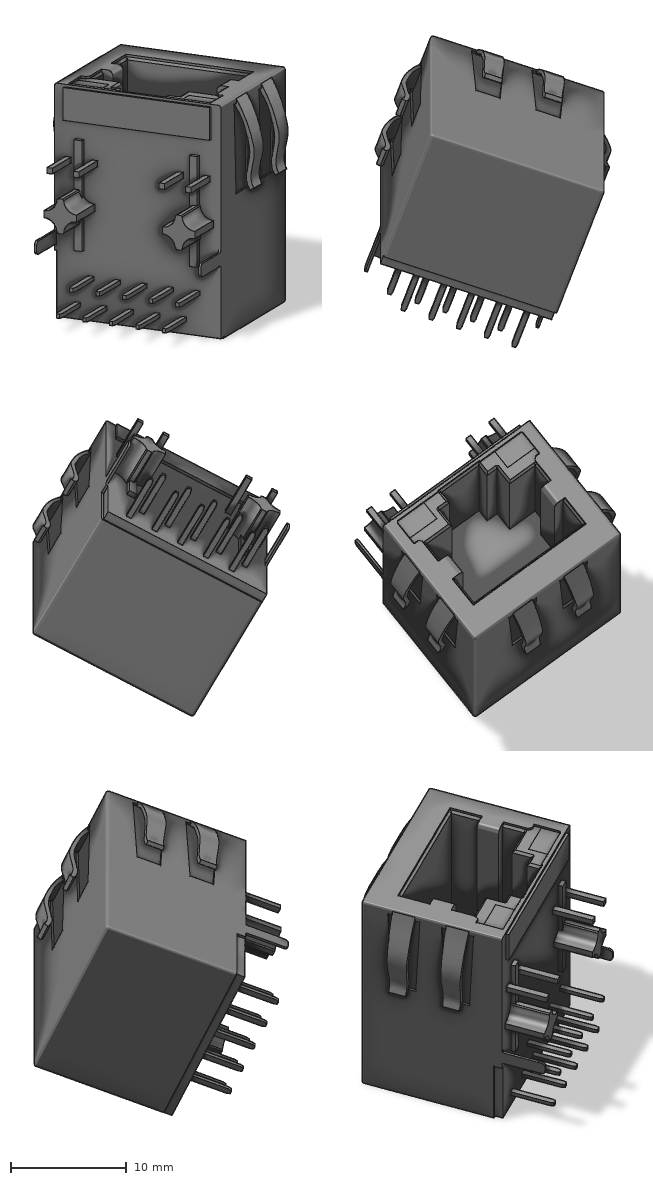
import cadquery as cq


HEIGHT = 21.25
HALF_WIDTH = 7.97
DEPTH = 13.1
EDGE_RADIUS = 0.25
SHEET = 0.21
PIN_REACH = 4.02

CONTACTS = 10
CONTACT_SPAN = 11.43
CONTACT_PITCH = CONTACT_SPAN / (CONTACTS - 1)

CAVITY_FLOOR = 8.5
LEAD_IN = 0.21
PLUG_HALF_WIDTH = 5.89
PLUG_TOP = 10.22
PLUG_BOTTOM = 3.46
LATCH_HALF_WIDTH = 3.12
LATCH_BOTTOM = 1.68
KEY_HALF_WIDTH = 2.05
KEY_BOTTOM = 0.5
LEDGE = HEIGHT - SHEET

TAB_TIP = 4.97
TAB_Y = (5.46, 7.45)
TAB_RADIUS = 0.53

LED_X = (3.85, 6.8)
LED_Y = (0.38, 2.23)
LED_CORNER = 0.1
WINDOW_TOP = 2.9
WINDOW_SLANT = 0.28
LEAD_SIZE = 0.53
LEAD_Z = 14.5
LEAD_MIDDLE = 5.38
LEAD_PITCH = 2 * CONTACT_PITCH
LEAD_REACH = 3.75

FINGER_OUTER = [(0.0, 0.2), (0.85, 1.87), (1.49, 3.82), (1.64, 4.72), (1.53, 5.78), (1.3, 7.01), (1.57, 8.18)]
FINGER_INNER = [(1.21, 8.37), (0.85, 7.01), (1.1, 5.78), (1.21, 4.72), (1.06, 3.82), (0.47, 1.87), (0.0, 1.06)]
FINGER_ROOT_DROPS = (0.2, 0.7)
FINGER_TOP_WIDTH = 2.12
FINGER_TIP_WIDTH = 1.53
FINGER_LENGTH = 8.5
SLOT_TOP_DROP = 0.62
SLOT_BOTTOM_DROP = 8.78
SLOT_TOP_WIDTH = 3.0
SLOT_BOTTOM_WIDTH = 2.23
SIDE_FINGER_Y = (4.15, 9.14)
BACK_FINGER_X = (-2.76, 2.76)

PAD_HALF_WIDTH = 7.01
PAD_Z = (18.06, 21.02)
PAD_HEIGHT = 0.25
RIB_X = 5.52
RIB_WIDTH = 0.75
RIB_Z = (6.5, 16.5)
RIB_HEIGHT = 0.42
PEG_X = 5.67
PEG_Z = 10.48
PEG_LENGTH = 3.63
PEG_RADIUS = 1.57
PEG_ARM_HALF = 0.32
PEG_WAIST = 0.68
PEG_CHAMFER = 0.1
LEG_Z = (6.8, 8.01)
LEG_ROOT_RADIUS = 0.17
LEG_TIP_RADIUS = 0.38
NOTCH_DEPTH = 0.8
NOTCH_TOP = 6.16
CONTACT_ROWS_Z = (1.57, 4.08)
CONTACT_WIDTH = 0.49
CONTACT_THICKNESS = 0.38
CONTACT_TIP_LENGTH = 0.32
CONTACT_TIP_WIDTH = 0.32


def box(x_range, y_range, z_range):
    """Box between two limits on each axis."""
    sizes = [high - low for low, high in (x_range, y_range, z_range)]
    corner = (x_range[0], y_range[0], z_range[0])
    return cq.Workplane("XY").box(*sizes, centered=False).translate(corner)


def both_sides(shape):
    """A shape together with its mirror image across the centre plane."""
    return shape.union(shape.mirror("YZ"))


def make_led():
    led = box(LED_X, LED_Y, (LEAD_Z - LEAD_SIZE / 2, LEDGE))
    led = led.edges("|Z and <Y and >X").chamfer(LED_CORNER)
    lead_root = sum(LED_Y) / 2
    for x in (LEAD_MIDDLE - LEAD_PITCH / 2, LEAD_MIDDLE + LEAD_PITCH / 2):
        lead = box(
            (x - LEAD_SIZE / 2, x + LEAD_SIZE / 2),
            (-LEAD_REACH, lead_root),
            (LEAD_Z - LEAD_SIZE / 2, LEAD_Z + LEAD_SIZE / 2),
        )
        led = led.union(lead)
    return led


def make_tab():
    tab = box((TAB_TIP, HALF_WIDTH), TAB_Y, (CAVITY_FLOOR, HEIGHT))
    return tab.edges("|Y and >Z and <X").fillet(TAB_RADIUS)


def plug_outline(z, margin):
    """Stepped outline of the plug opening, grown by a margin, at a level z."""
    right = [
        (KEY_HALF_WIDTH + margin, KEY_BOTTOM - margin),
        (KEY_HALF_WIDTH + margin, LATCH_BOTTOM - margin),
        (LATCH_HALF_WIDTH + margin, LATCH_BOTTOM - margin),
        (LATCH_HALF_WIDTH + margin, PLUG_BOTTOM - margin),
        (PLUG_HALF_WIDTH + margin, PLUG_BOTTOM - margin),
        (PLUG_HALF_WIDTH + margin, PLUG_TOP + margin),
    ]
    left = [(-x, y) for x, y in reversed(right)]
    return cq.Workplane("XY").workplane(offset=z).polyline(right + left).close()


def make_mouth():
    cavity = plug_outline(CAVITY_FLOOR, 0).extrude(HEIGHT - CAVITY_FLOOR)
    lead_in = plug_outline(LEDGE - LEAD_IN, 0).extrude(LEAD_IN, taper=-45)
    opening = plug_outline(LEDGE, LEAD_IN).extrude(SHEET)
    shoulder = PLUG_HALF_WIDTH + LEAD_IN
    led_window = (
        cq.Workplane("XY").workplane(offset=LEDGE)
        .moveTo(KEY_HALF_WIDTH, LED_Y[0])
        .lineTo(LED_X[1] - LED_CORNER, LED_Y[0])
        .lineTo(LED_X[1], LED_Y[0] + LED_CORNER)
        .lineTo(LED_X[1], WINDOW_TOP)
        .lineTo(shoulder + WINDOW_SLANT, WINDOW_TOP)
        .lineTo(shoulder, WINDOW_TOP + WINDOW_SLANT)
        .lineTo(shoulder, PLUG_BOTTOM)
        .lineTo(KEY_HALF_WIDTH, PLUG_BOTTOM)
        .close()
        .extrude(SHEET)
    )
    mouth = cavity.union(lead_in).union(opening).union(both_sides(led_window))
    return mouth.cut(both_sides(make_tab()))


def wall_trapezoid(top_width, bottom_width, top_drop, bottom_drop, y_range):
    """Tapered upright prism, symmetric about X = 0, spanning y_range."""
    top = HEIGHT - top_drop
    bottom = HEIGHT - bottom_drop
    corners = [
        (-top_width / 2, top),
        (top_width / 2, top),
        (bottom_width / 2, bottom),
        (-bottom_width / 2, bottom),
    ]
    plane = cq.Workplane("XZ", origin=(0, y_range[1], 0))
    return plane.polyline(corners).close().extrude(y_range[1] - y_range[0])


def make_finger():
    outer = [(out, HEIGHT - drop) for out, drop in FINGER_OUTER]
    inner = [(out, HEIGHT - drop) for out, drop in FINGER_INNER]
    root_top, root_bottom = [HEIGHT - drop for drop in FINGER_ROOT_DROPS]
    strip = (
        cq.Workplane("YZ", origin=(-FINGER_TOP_WIDTH / 2, 0, 0))
        .moveTo(-SHEET, root_top)
        .lineTo(*outer[0])
        .spline(outer[1:], includeCurrent=True)
        .lineTo(*inner[0])
        .spline(inner[1:], includeCurrent=True)
        .lineTo(-SHEET, root_bottom)
        .close()
        .extrude(FINGER_TOP_WIDTH)
    )
    reach = max(out for out, _ in FINGER_OUTER) + SHEET
    taper = wall_trapezoid(FINGER_TOP_WIDTH, FINGER_TIP_WIDTH, 0, FINGER_LENGTH, (-SHEET, reach))
    return strip.intersect(taper)


def make_slot():
    return wall_trapezoid(SLOT_TOP_WIDTH, SLOT_BOTTOM_WIDTH, SLOT_TOP_DROP, SLOT_BOTTOM_DROP, (-SHEET, 0))


def on_walls(shape):
    """Copies of a wall feature at every finger position."""
    copies = [shape.translate((x, DEPTH, 0)) for x in BACK_FINGER_X]
    for y in SIDE_FINGER_Y:
        copies.append(shape.rotate((0, 0, 0), (0, 0, 1), 90).translate((-HALF_WIDTH, y, 0)))
        copies.append(shape.rotate((0, 0, 0), (0, 0, 1), -90).translate((HALF_WIDTH, y, 0)))
    return copies


def make_peg():
    """Four-armed locating peg with concave flanks, on the +X side."""
    r, a, w = PEG_RADIUS, PEG_ARM_HALF, PEG_WAIST
    peg = (
        cq.Workplane("XZ")
        .moveTo(r, a)
        .threePointArc((w, w), (a, r))
        .lineTo(-a, r)
        .threePointArc((-w, w), (-r, a))
        .lineTo(-r, -a)
        .threePointArc((-w, -w), (-a, -r))
        .lineTo(a, -r)
        .threePointArc((w, -w), (r, -a))
        .close()
        .extrude(PEG_LENGTH)
    )
    upright_arm_edges = peg.faces(">Z or <Z").edges("|Y")
    return upright_arm_edges.chamfer(PEG_CHAMFER).translate((PEG_X, 0, PEG_Z))


def make_leg():
    """Ground leg continuing the +X skin, rounded at the tip and flared at the root."""
    skin = (HALF_WIDTH - SHEET, HALF_WIDTH)
    leg = box(skin, (-PIN_REACH, 0), LEG_Z).edges("|X and <Y").fillet(LEG_TIP_RADIUS)
    r = LEG_ROOT_RADIUS
    flare = box(skin, (-r, 0), (LEG_Z[0] - r, LEG_Z[1] + r))
    for z in (LEG_Z[0] - r, LEG_Z[1] + r):
        scoop = cq.Workplane("YZ", origin=(skin[0], 0, 0)).center(-r, z).circle(r).extrude(SHEET)
        flare = flare.cut(scoop)
    return leg.union(flare)


def make_contact():
    """Flat solder pin at X = 0, Z = 0 with a tip tapered in width."""
    half = CONTACT_WIDTH / 2
    tip_half = CONTACT_TIP_WIDTH / 2
    shoulder = CONTACT_TIP_LENGTH - PIN_REACH
    outline = [
        (-half, 0),
        (-half, shoulder),
        (-tip_half, -PIN_REACH),
        (tip_half, -PIN_REACH),
        (half, shoulder),
        (half, 0),
    ]
    lower_face = cq.Workplane("XY", origin=(0, 0, -CONTACT_THICKNESS / 2))
    return lower_face.polyline(outline).close().extrude(CONTACT_THICKNESS)


def make_housing(leds):
    block = box((-HALF_WIDTH, HALF_WIDTH), (0, DEPTH), (0, HEIGHT))
    housing = block.faces("<X or >X or >Y").edges("not <Y").fillet(EDGE_RADIUS)
    housing = housing.cut(make_mouth())

    housing = housing.cut(box((-HALF_WIDTH, HALF_WIDTH), (0, NOTCH_DEPTH), (0, SHEET)))
    housing = housing.cut(box((-HALF_WIDTH, SHEET - HALF_WIDTH), (0, NOTCH_DEPTH), (0, NOTCH_TOP)))

    for slot in on_walls(make_slot()):
        housing = housing.cut(slot)
    for finger in on_walls(make_finger()):
        housing = housing.union(finger)

    pad = box((-PAD_HALF_WIDTH, PAD_HALF_WIDTH), (-PAD_HEIGHT, 0), PAD_Z)
    rib = box((RIB_X - RIB_WIDTH / 2, RIB_X + RIB_WIDTH / 2), (-RIB_HEIGHT, 0), RIB_Z)
    housing = housing.union(pad)
    for feature in (rib, make_peg(), make_leg()):
        housing = housing.union(both_sides(feature))

    for i in range(CONTACTS):
        x = i * CONTACT_PITCH - CONTACT_SPAN / 2
        housing = housing.union(make_contact().translate((x, 0, CONTACT_ROWS_Z[i % 2])))

    for led in leds:
        housing = housing.cut(led)
    return housing


right_led = make_led()
leds = [right_led, right_led.mirror("YZ")]
housing = make_housing(leds)
result = cq.Compound.makeCompound([housing.val(), *[led.val() for led in leds]])